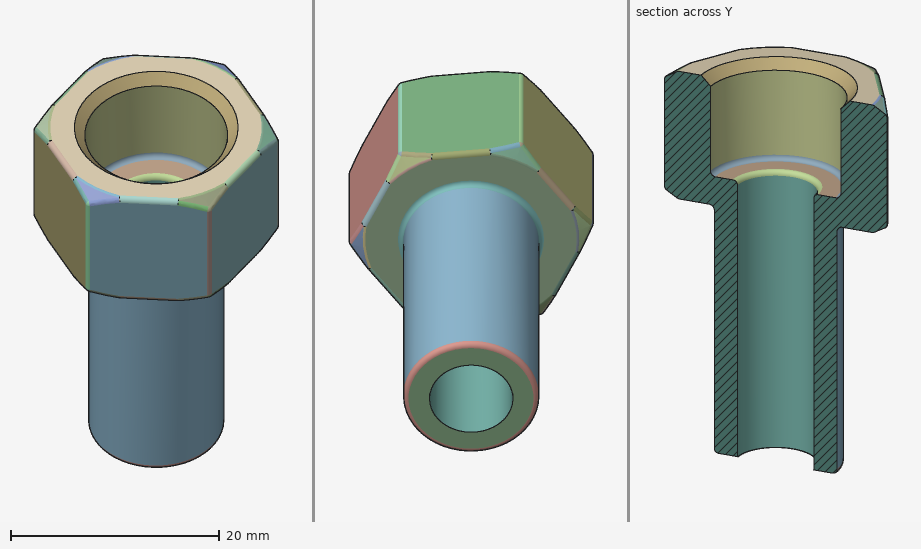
import cadquery as cq
import math

total_length = 39.0
edge_radius = 0.5

head_sides = 6
across_flats = 20.5
head_height = 13.3
corner_cone_diameter = 20.55
corner_cone_angle = 30.0

shank_diameter = 13.0
shank_overlap = 0.5
through_diameter = 8.0
socket_diameter = 13.7
socket_depth = 10.3
socket_mouth_diameter = 15.7
socket_mouth_angle = 45.0

head_bottom = total_length - head_height
across_corners = across_flats / math.cos(math.pi / head_sides)

arc_inset = edge_radius * (1 - math.sqrt(0.5))


def corner_cone_body():
    """Turned blank whose conical ends cut back the corners of the hexagon."""
    end_radius = corner_cone_diameter / 2
    outer_radius = across_corners / 2 + edge_radius
    drop = (outer_radius - end_radius) * math.tan(math.radians(corner_cone_angle))
    profile = [
        (0, head_bottom),
        (end_radius, head_bottom),
        (outer_radius, head_bottom + drop),
        (outer_radius, total_length - drop),
        (end_radius, total_length),
        (0, total_length),
    ]
    return cq.Workplane("XZ").polyline(profile).close().revolve(360, (0, 0), (0, 1))


def make_head():
    """Hexagonal head with conical corners and every edge rounded."""
    prism = (
        cq.Workplane("XY")
        .workplane(offset=head_bottom)
        .polygon(head_sides, across_corners)
        .extrude(head_height)
    )
    return prism.intersect(corner_cone_body()).edges().fillet(edge_radius)


def make_shank():
    """Round shank with a rounded free end and a fillet flaring into the head."""
    radius = shank_diameter / 2
    top = head_bottom + shank_overlap
    fillet_start = head_bottom - edge_radius
    return (
        cq.Workplane("XZ")
        .moveTo(0, 0)
        .lineTo(radius - edge_radius, 0)
        .threePointArc((radius - arc_inset, arc_inset), (radius, edge_radius))
        .lineTo(radius, fillet_start)
        .threePointArc(
            (radius + arc_inset, head_bottom - arc_inset),
            (radius + edge_radius, head_bottom),
        )
        .lineTo(radius + edge_radius, top)
        .lineTo(0, top)
        .close()
        .revolve(360, (0, 0), (0, 1))
    )


def make_bore():
    """Through hole, flat-bottomed socket with rounded floor edges, and countersunk mouth."""
    hole_radius = through_diameter / 2
    socket_radius = socket_diameter / 2
    mouth_radius = socket_mouth_diameter / 2
    mouth_depth = (mouth_radius - socket_radius) / math.tan(math.radians(socket_mouth_angle))
    floor = total_length - socket_depth
    return (
        cq.Workplane("XZ")
        .moveTo(0, 0)
        .lineTo(hole_radius, 0)
        .lineTo(hole_radius, floor - edge_radius)
        .threePointArc(
            (hole_radius + arc_inset, floor - arc_inset),
            (hole_radius + edge_radius, floor),
        )
        .lineTo(socket_radius - edge_radius, floor)
        .threePointArc(
            (socket_radius - arc_inset, floor + arc_inset),
            (socket_radius, floor + edge_radius),
        )
        .lineTo(socket_radius, total_length - mouth_depth)
        .lineTo(mouth_radius, total_length)
        .lineTo(0, total_length)
        .close()
        .revolve(360, (0, 0), (0, 1))
    )


result = make_head().union(make_shank()).cut(make_bore())